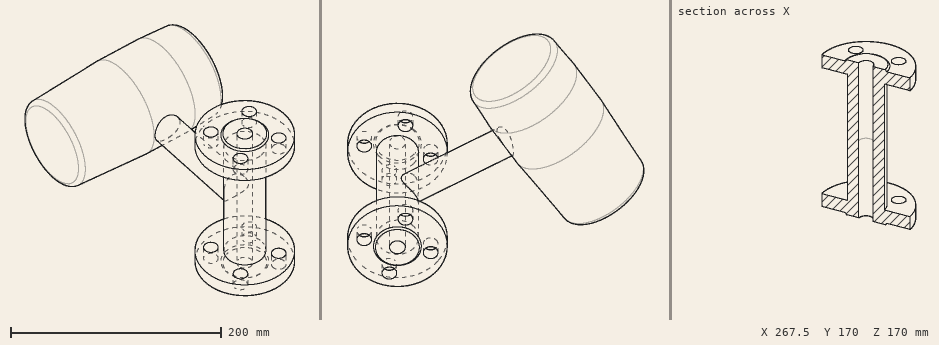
import cadquery as cq


overall_height = 170.0
pipe_diameter = 40.0
bore_diameter = 15.0

flange_diameter = 95.0
flange_thickness = 14.5
raised_face_height = 2.0
raised_face_base_diameter = 45.5
raised_face_top_diameter = 41.7
bolt_hole_diameter = 14.0
bolt_circle_diameter = 65.0
bolt_count = 4

overall_length = 267.5
housing_diameter = 100.0
housing_back = 70.0
band_back = 33.2
band_front = -16.0
housing_front = -100.0
back_end_diameter = 96.0
front_end_diameter = 91.0
end_fillet = 4.8

branch_diameter = 30.0

half_height = overall_height / 2
flange_outer_z = half_height - raised_face_height
housing_x = flange_diameter / 2 + housing_diameter / 2 - overall_length


def make_housing():
    """Barrel with a cylindrical band, tapered flanks and rounded ends."""
    profile = (
        cq.Workplane("XY")
        .moveTo(0, housing_front)
        .lineTo(front_end_diameter / 2, housing_front)
        .lineTo(housing_diameter / 2, band_front)
        .lineTo(housing_diameter / 2, band_back)
        .lineTo(back_end_diameter / 2, housing_back)
        .lineTo(0, housing_back)
        .close()
    )
    barrel = profile.revolve(360, (0, 0, 0), (0, 1, 0))
    barrel = barrel.faces("<Y or >Y").edges().fillet(end_fillet)
    return barrel.translate((housing_x, 0, 0))


def make_top_flange():
    """Drilled disc with a conical raised face on its outer side."""
    disc = (
        cq.Workplane("XY")
        .workplane(offset=flange_outer_z - flange_thickness)
        .circle(flange_diameter / 2)
        .extrude(flange_thickness)
        .faces(">Z")
        .workplane()
        .polarArray(bolt_circle_diameter / 2, 360 / bolt_count / 2, 360, bolt_count)
        .hole(bolt_hole_diameter)
    )
    raised_face = (
        cq.Workplane("XY")
        .workplane(offset=flange_outer_z)
        .circle(raised_face_base_diameter / 2)
        .workplane(offset=raised_face_height)
        .circle(raised_face_top_diameter / 2)
        .loft()
    )
    return disc.union(raised_face)


pipe = cq.Workplane("XY").circle(pipe_diameter / 2).extrude(flange_outer_z, both=True)
top_flange = make_top_flange()
bottom_flange = top_flange.mirror("XY")
branch = (
    cq.Workplane("YZ")
    .workplane(offset=housing_x)
    .circle(branch_diameter / 2)
    .extrude(-housing_x)
)
bore = cq.Workplane("XY").circle(bore_diameter / 2).extrude(half_height, both=True)

result = (
    pipe.union(top_flange)
    .union(bottom_flange)
    .union(branch)
    .union(make_housing())
    .cut(bore)
)